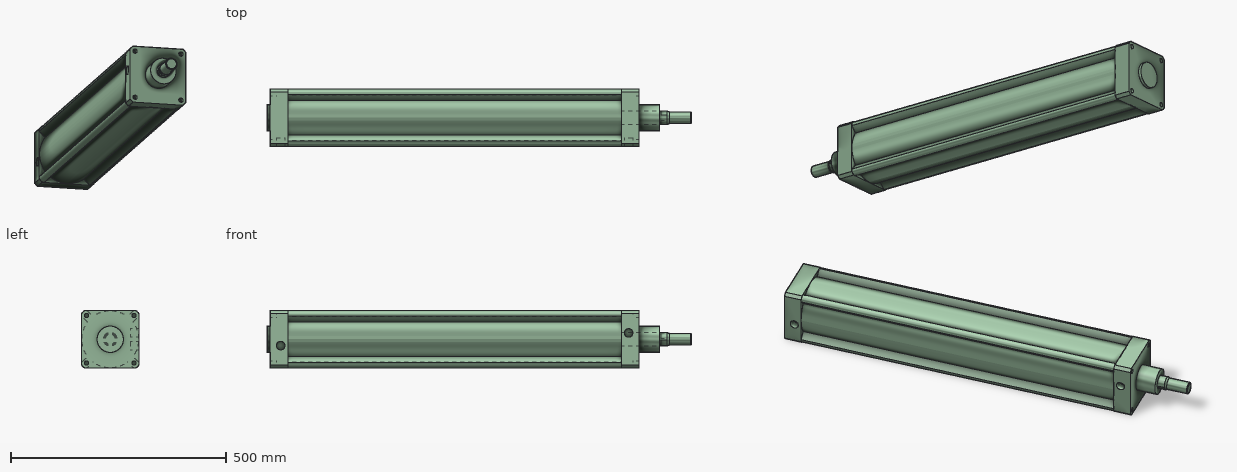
import cadquery as cq
import math


total_length = 985.0
side = 134.0
half_side = side / 2

boss_length = 7.0
boss_radius = 31.0
cap_length = 41.0
cap_corner_chamfer = 7.0
barrel_length = 774.0
neck_length = 47.0

port_radius = 10.0
port_depth = 20.0
port_offset = 15.0
port_setback = 25.0
screw_hole_radius = 5.0
screw_hole_depth = 15.0
screw_hole_offset = 55.0

bulge_radius = 69.0
bulge_center_drop = 3.0
groove_half_height = 40.0
ridge_half_width = 7.4

rod_radius = 16.0
rod_flat_distance = 14.0
rod_flat_length = 15.0
rod_flat_tilt = 35.0
rod_land_length = 3.0
shoulder_length = 5.0
stud_radius = 14.0
stud_chamfer = 2.0

rear_cap_start = boss_length
barrel_start = rear_cap_start + cap_length
front_cap_start = barrel_start + barrel_length
front_cap_end = front_cap_start + cap_length
neck_end = front_cap_end + neck_length
flat_start = neck_end + rod_land_length
flat_end = flat_start + rod_flat_length
stud_start = flat_end + shoulder_length


def cylinder(start, length, radius, y=0, z=0):
    """Round bar along +X from the given station."""
    return cq.Workplane("YZ", origin=(start, y, z)).circle(radius).extrude(length)


def make_cap(start, outer_face, inward, port_z):
    """Square end cap with chamfered edges, four blind screw holes and one air port."""
    cap = (
        cq.Workplane("YZ", origin=(start, 0, 0))
        .rect(side, side)
        .extrude(cap_length)
        .edges("|X")
        .chamfer(cap_corner_chamfer)
    )
    for y in (-screw_hole_offset, screw_hole_offset):
        for z in (-screw_hole_offset, screw_hole_offset):
            cap = cap.cut(cylinder(outer_face, inward * screw_hole_depth, screw_hole_radius, y, z))
    port = (
        cq.Workplane("XZ", origin=(outer_face + inward * port_setback, -half_side, port_z))
        .circle(port_radius)
        .extrude(-port_depth)
    )
    return cap.cut(port)


def make_rear_cap():
    cap = make_cap(rear_cap_start, rear_cap_start, 1, -port_offset)
    return cap.union(cylinder(0, boss_length, boss_radius))


def make_front_cap():
    cap = make_cap(front_cap_start, front_cap_end, -1, port_offset)
    cap = cap.union(cylinder(front_cap_end, neck_length, boss_radius))
    return cap.cut(cylinder(front_cap_start, neck_end - front_cap_start, rod_radius))


def turned(across, out, quarters):
    """Point (Y, Z) of the +Z flank turned about the axis by a number of quarter turns."""
    for _ in range(quarters):
        across, out = out, -across
    return across, out


def make_barrel():
    """Extrusion with four bulged, ridged flanks between four rounded corner posts."""
    groove_bottom = math.sqrt(bulge_radius**2 - groove_half_height**2) - bulge_center_drop
    post_edge = groove_half_height + half_side - groove_bottom
    corner_radius = half_side - post_edge
    corner_middle = half_side - corner_radius * (1 - math.sqrt(0.5))

    ridge_angle = math.asin(ridge_half_width / bulge_radius)
    ridge_foot = bulge_radius * math.cos(ridge_angle) - bulge_center_drop
    ridge_peak = bulge_radius / math.cos(ridge_angle) - bulge_center_drop

    bulge_end_angle = math.asin(groove_half_height / bulge_radius)
    bulge_middle_angle = (bulge_end_angle + ridge_angle) / 2
    bulge_middle_across = bulge_radius * math.sin(bulge_middle_angle)
    bulge_middle_out = bulge_radius * math.cos(bulge_middle_angle) - bulge_center_drop

    outline = cq.Workplane("YZ", origin=(barrel_start, 0, 0)).moveTo(-post_edge, half_side)
    for quarter in range(4):
        def at(across, out):
            return turned(across, out, quarter)

        outline = (
            outline
            .lineTo(*at(-groove_half_height, groove_bottom))
            .threePointArc(at(-bulge_middle_across, bulge_middle_out), at(-ridge_half_width, ridge_foot))
            .lineTo(*at(0, ridge_peak))
            .lineTo(*at(ridge_half_width, ridge_foot))
            .threePointArc(at(bulge_middle_across, bulge_middle_out), at(groove_half_height, groove_bottom))
            .lineTo(*at(post_edge, half_side))
            .threePointArc(at(corner_middle, corner_middle), at(half_side, post_edge))
        )
    return outline.close().extrude(barrel_length)


def make_rod():
    """Rod through the front cap, with two wrench flats, a shoulder and an end stud."""
    rod = cylinder(front_cap_start, stud_start - front_cap_start, rod_radius)
    rod = rod.faces(">X").edges().chamfer(shoulder_length, rod_radius - stud_radius)
    for opposite in (0, 180):
        waste = (
            cq.Workplane("XY")
            .box(rod_flat_length, rod_radius, 2 * rod_radius, centered=(False, False, True))
            .translate((flat_start, rod_flat_distance, 0))
            .rotate((0, 0, 0), (1, 0, 0), rod_flat_tilt + opposite)
        )
        rod = rod.cut(waste)
    stud = cylinder(stud_start, total_length - stud_start, stud_radius)
    return rod.union(stud.faces(">X").chamfer(stud_chamfer))


rear_cap = make_rear_cap()
barrel = make_barrel()
front_cap = make_front_cap()
rod = make_rod()

result = cq.Compound.makeCompound([rear_cap.val(), barrel.val(), front_cap.val(), rod.val()])